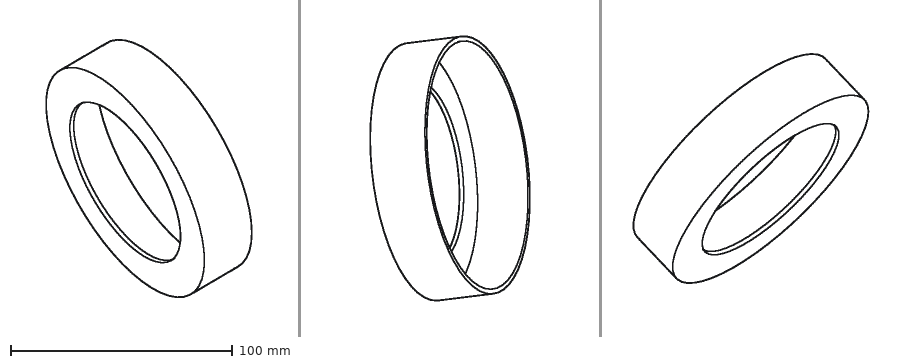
import cadquery as cq

outer_diameter = 117.4
cavity_diameter = 113.0
opening_diameter = 82.0
depth = 27.1
flange_thickness = (outer_diameter - cavity_diameter) / 2


def disc(diameter, start_y, length):
    """Cylinder along Y, from start_y toward +Y."""
    plane = cq.Workplane("XZ", origin=(0, start_y, 0))
    return plane.circle(diameter / 2).extrude(-length)


front_y = -depth / 2
body = disc(outer_diameter, front_y, depth)
cavity = disc(cavity_diameter, front_y + flange_thickness, depth - flange_thickness)
opening = disc(opening_diameter, front_y, depth)

result = body.cut(cavity).cut(opening)